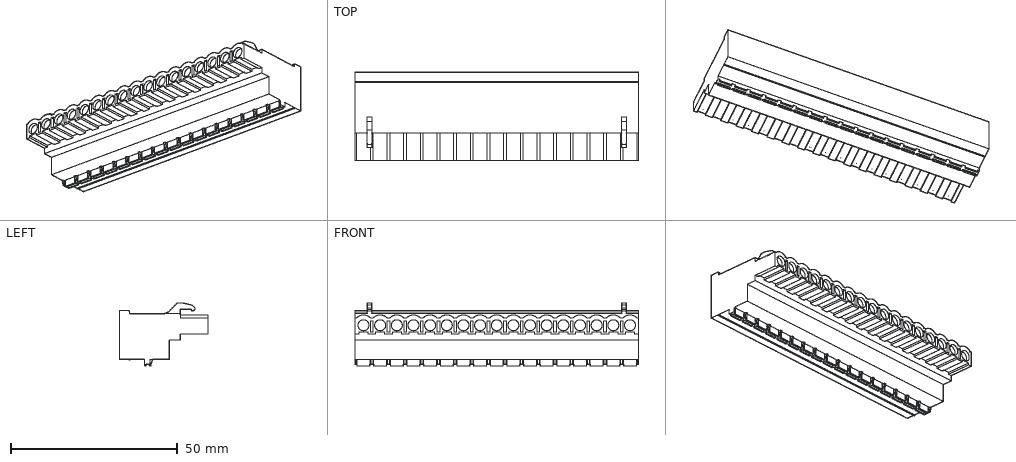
import cadquery as cq

POLE_COUNT = 17
PITCH = 5.0
LENGTH = 85.1
DEPTH = 26.6
HEIGHT = 19.0
FIRST_POLE_X = (LENGTH - (POLE_COUNT - 1) * PITCH) / 2

BODY_FRONT_Y = 8.3
LOWER_WALL_Y = 11.6
RIDGE_Y = 23.55
BODY_BOTTOM_Z = 2.0
STEP_Z = 7.8
COLLAR_BOTTOM_Z = 9.6
VALLEY_Z = 14.5
DECK_Z = 15.75
RIDGE_TOP_Z = 16.75
RIDGE_CHAMFER_Y = 0.2
RIDGE_CHAMFER_Z = 0.5

CROWN_WIDTH = 4.15
CROWN_TOP_Z = 15.35

HOLE_DIAMETER = 3.3
HOLE_Z = 12.25
HOLE_DEPTH = 1.1
SLOT_WIDTH = 0.8
SLOT_BOTTOM_Z = 10.25
SLOT_TOP_Z = 13.6
SLOT_DEPTH = 1.0
NOTCH_WIDTH = 2.7
NOTCH_TOP_Z = 10.25

RAIL_BACK_Y = 19.1
RAIL_FRONT_Y = 17.4
RAIL_BOTTOM_Z = 0.5
FOOT_FRONT_Y = 17.1
FOOT_WIDTH = 3.9
TIP_THICKNESS = 0.6
TIP_END_THICKNESS = 0.4
RIB_WIDTH = 0.6
RIB_FRONT_Y = 16.6

LIP_Y = 23.5
LIP_THICKNESS = 0.2
LIP_HEIGHT = 0.25

HOOK_WIDTH = 1.4
HOOK_INSET = 4.35
HOOK_GAP_Z = 17.05
HOOK_ROOT_Y = 13.1
HOOK_NOSE = [(5.1, HOOK_GAP_Z), (5.0, 16.5), (4.4, 16.6), (3.9, 17.0), (3.9, 17.5), (4.8, 18.3)]
HOOK_BACK = [(7.25, 18.9), (7.8, HEIGHT), (9.2, HEIGHT), (11.85, 16.3)]


def pole_centers():
    return [FIRST_POLE_X + PITCH * i for i in range(POLE_COUNT)]


def box(x0, x1, y0, y1, z0, z1):
    return cq.Workplane("XY").box(x1 - x0, y1 - y0, z1 - z0, centered=False).translate((x0, y0, z0))


def extrude_profile(points, x_start, width):
    """Extrude a closed (Y, Z) outline along +X."""
    return cq.Workplane("YZ", origin=(x_start, 0, 0)).polyline(points).close().extrude(width)


def make_housing():
    outline = [
        (0, COLLAR_BOTTOM_Z),
        (BODY_FRONT_Y, COLLAR_BOTTOM_Z),
        (BODY_FRONT_Y, STEP_Z),
        (LOWER_WALL_Y, STEP_Z),
        (LOWER_WALL_Y, BODY_BOTTOM_Z),
        (DEPTH, BODY_BOTTOM_Z),
        (DEPTH, RIDGE_TOP_Z),
        (RIDGE_Y + RIDGE_CHAMFER_Y, RIDGE_TOP_Z),
        (RIDGE_Y, RIDGE_TOP_Z - RIDGE_CHAMFER_Z),
        (RIDGE_Y, DECK_Z),
        (BODY_FRONT_Y, DECK_Z),
        (BODY_FRONT_Y, VALLEY_Z),
        (0, VALLEY_Z),
    ]
    return extrude_profile(outline, 0, LENGTH)


def make_crown(x):
    """Rounded cap over one wire entry, running back to the housing front."""
    half = CROWN_WIDTH / 2
    return (
        cq.Workplane("XZ")
        .moveTo(x - half, VALLEY_Z)
        .threePointArc((x, CROWN_TOP_Z), (x + half, VALLEY_Z))
        .close()
        .extrude(-BODY_FRONT_Y)
    )


def make_wire_hole(x):
    return (
        cq.Workplane("XZ")
        .center(x, HOLE_Z)
        .circle(HOLE_DIAMETER / 2)
        .extrude(-HOLE_DEPTH)
    )


def make_edge_notch(x):
    """Clearance along the lower edge of one wire entry."""
    half = NOTCH_WIDTH / 2
    return box(x - half, x + half, 0, BODY_FRONT_Y, COLLAR_BOTTOM_Z, NOTCH_TOP_Z)


def make_slot(x):
    """Blind slot in the entry face, between two neighbouring wire holes."""
    half = SLOT_WIDTH / 2
    return box(x - half, x + half, 0, SLOT_DEPTH, SLOT_BOTTOM_Z, SLOT_TOP_Z)


def make_rail():
    return box(0, LENGTH, RAIL_FRONT_Y, RAIL_BACK_Y, RAIL_BOTTOM_Z, BODY_BOTTOM_Z)


def make_foot(x):
    """Raised pad on the rail front, below one pole."""
    half = FOOT_WIDTH / 2
    return box(x - half, x + half, FOOT_FRONT_Y, RAIL_FRONT_Y, RAIL_BOTTOM_Z, BODY_BOTTOM_Z)


def make_rib(x):
    """Sloped rib on the rail front, between two feet or at an end of the part."""
    outline = [
        (RAIL_FRONT_Y, BODY_BOTTOM_Z),
        (RAIL_FRONT_Y, RAIL_BOTTOM_Z),
        (FOOT_FRONT_Y, RAIL_BOTTOM_Z),
        (RIB_FRONT_Y, BODY_BOTTOM_Z),
    ]
    x_start = max(x - RIB_WIDTH / 2, 0)
    x_end = min(x + RIB_WIDTH / 2, LENGTH)
    return extrude_profile(outline, x_start, x_end - x_start)


def make_foot_tip(x, y_start):
    """Tapered bead under one foot, starting at y_start and running towards +Y."""
    taper = (TIP_THICKNESS - TIP_END_THICKNESS) / 2
    outline = [
        (y_start, RAIL_BOTTOM_Z),
        (y_start + taper, 0),
        (y_start + TIP_THICKNESS - taper, 0),
        (y_start + TIP_THICKNESS, RAIL_BOTTOM_Z),
    ]
    return extrude_profile(outline, x - FOOT_WIDTH / 2, FOOT_WIDTH)


def make_hook(x_center):
    """Faceted hook rising from the deck and reaching forward over the wire entries."""
    outline = [
        (BODY_FRONT_Y, DECK_Z),
        (BODY_FRONT_Y, HOOK_GAP_Z),
        *HOOK_NOSE,
        *HOOK_BACK,
        (HOOK_ROOT_Y, DECK_Z),
    ]
    return extrude_profile(outline, x_center - HOOK_WIDTH / 2, HOOK_WIDTH)


result = make_housing().union(make_rail())
result = result.union(
    box(0, LENGTH, LIP_Y, LIP_Y + LIP_THICKNESS, BODY_BOTTOM_Z - LIP_HEIGHT, BODY_BOTTOM_Z)
)
for hook_x in (HOOK_INSET, LENGTH - HOOK_INSET):
    result = result.union(make_hook(hook_x))

for pole_x in pole_centers():
    result = result.union(make_crown(pole_x))
    result = result.union(make_foot(pole_x))
    result = result.union(make_foot_tip(pole_x, FOOT_FRONT_Y))
    result = result.union(make_foot_tip(pole_x, RAIL_BACK_Y - TIP_THICKNESS))
    result = result.cut(make_wire_hole(pole_x))
    result = result.cut(make_edge_notch(pole_x))

boundaries_between_poles = [pole_x + PITCH / 2 for pole_x in pole_centers()[:-1]]
for boundary_x in boundaries_between_poles:
    result = result.cut(make_slot(boundary_x))
for boundary_x in [0, *boundaries_between_poles, LENGTH]:
    result = result.union(make_rib(boundary_x))